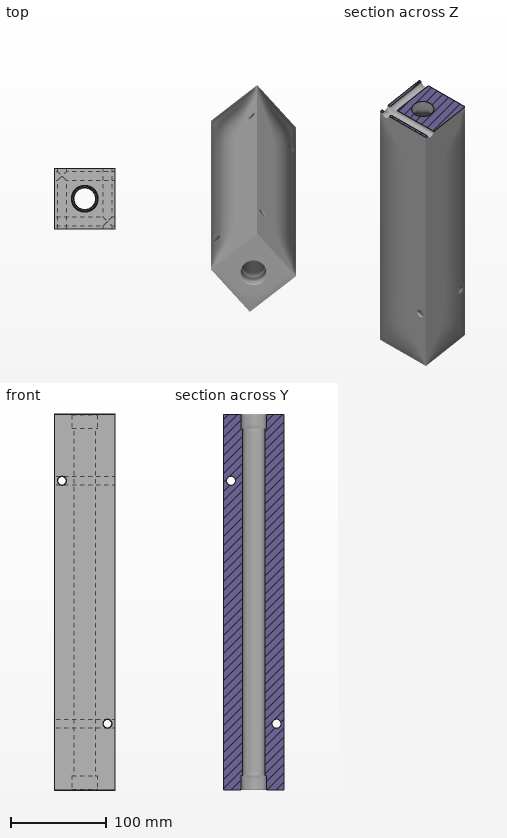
import cadquery as cq

side = 63.5
length = 393.7

bore_diameter = 23.0
counterbore_diameter = 26.5
counterbore_depth = 15.0
mouth_diameter = 28.0
mouth_chamfer = (mouth_diameter - counterbore_diameter) / 2

cross_diameter = 9.0
edge_distance = 8.0
end_distance = 69.5
cross_offset = side / 2 - edge_distance
cross_height = length / 2 - end_distance


def square_bar():
    return cq.Workplane("XY").box(side, side, length)


def bore_from(body, end_face):
    """Stepped through bore entered from the given end face, with its mouth chamfered."""
    bored = body.faces(end_face).workplane().cboreHole(
        bore_diameter, counterbore_diameter, counterbore_depth
    )
    return bored.faces(end_face).edges("%CIRCLE").chamfer(mouth_chamfer)


def cross_hole(plane, offset, height):
    """Cylinder through the full bar, normal to the given plane."""
    return (
        cq.Workplane(plane)
        .center(offset, height)
        .circle(cross_diameter / 2)
        .extrude(side, both=True)
    )


result = square_bar()

for end_face in (">Z", "<Z"):
    result = bore_from(result, end_face)

for end in (1, -1):
    result = result.cut(cross_hole("XZ", -end * cross_offset, end * cross_height))
    result = result.cut(cross_hole("YZ", end * cross_offset, end * cross_height))